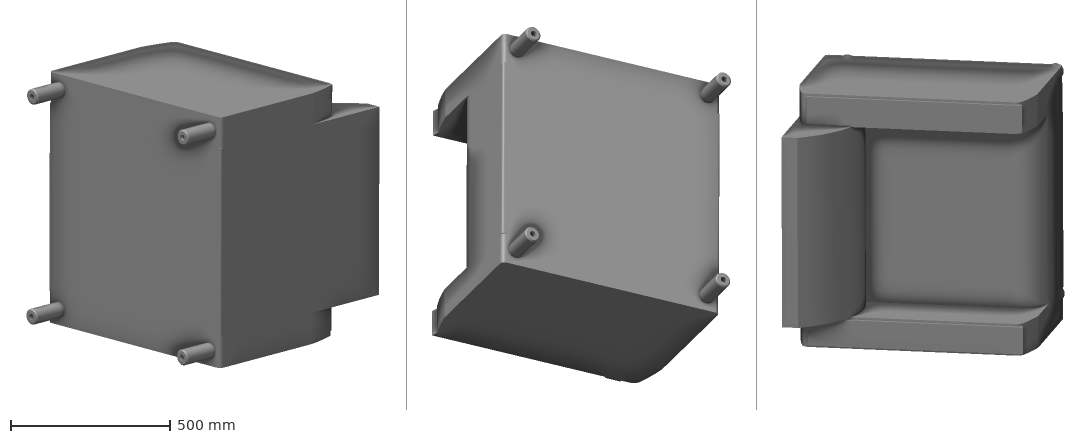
import cadquery as cq
import math

LEAN_ANGLE = 0.24

WIDTH = 761.0
HALF_WIDTH = WIDTH / 2
BASE_Y = -292.0

ARM_THICKNESS = 102.0
ARM_TOP_Y = 240.0
ARM_CURVE_START_Y = 118.0
ARM_TOP_HALF_WIDTH = 348.5
ARM_CURVE_SAG = 3.0
ARM_SHOULDER_RADIUS = 25
ARM_BASE_RADIUS = 14.0

SEAT_LENGTH = 613.0
SEAT_TOP_Y = 27.0
SEAT_FRONT_RADIUS = 83
SEAT_BASE_RADIUS = 7.5
BACK_TOP_Y = 415
BACK_TOP_X = 329.5
BACK_RADIUS = 339.0
BACK_CENTER_Y = 131.0

PAD_LEFT_X = -358.0
PAD_RIGHT_X = 332
PAD_TOP_Y = 253.0
PAD_WIDTH = 87.0
PAD_LIP_START_Y = 250.0
PAD_LIP_X = -351.0
PAD_LIP_Y = 231.0
PAD_LIP_BACK_X = -315

LEG_DIAMETER = 51.0
LEG_LENGTH = 123.0
LEG_EDGE = 4.0
LEG_X = 334.0
LEG_Z = 358.5
SOCKET_DIAMETER = 19.0
SOCKET_DEPTH = 25
PILOT_DIAMETER = 8.0
PILOT_DEPTH = 33

ARM_Z = (SEAT_LENGTH + ARM_THICKNESS) / 2


def make_arm(z_center):
    """Side panel with bowed upper sides and rounded corners."""
    rise = ARM_TOP_Y - ARM_CURVE_START_Y
    inset = HALF_WIDTH - ARM_TOP_HALF_WIDTH
    chord = math.hypot(rise, inset)
    bow_x = (HALF_WIDTH + ARM_TOP_HALF_WIDTH) / 2 + ARM_CURVE_SAG * rise / chord
    bow_y = (ARM_TOP_Y + ARM_CURVE_START_Y) / 2 + ARM_CURVE_SAG * inset / chord
    arm = (
        cq.Workplane("XY")
        .workplane(offset=z_center - ARM_THICKNESS / 2)
        .moveTo(-HALF_WIDTH, BASE_Y)
        .lineTo(HALF_WIDTH, BASE_Y)
        .lineTo(HALF_WIDTH, ARM_CURVE_START_Y)
        .threePointArc((bow_x, bow_y), (ARM_TOP_HALF_WIDTH, ARM_TOP_Y))
        .lineTo(-ARM_TOP_HALF_WIDTH, ARM_TOP_Y)
        .threePointArc((-bow_x, bow_y), (-HALF_WIDTH, ARM_CURVE_START_Y))
        .close()
        .extrude(ARM_THICKNESS)
    )
    arm = arm.edges("|Z and >Y").fillet(ARM_SHOULDER_RADIUS)
    return arm.edges("|Z and <Y").fillet(ARM_BASE_RADIUS)


def make_seat():
    """Seat block with a backrest whose front is a single large arc."""
    back_center_x = BACK_TOP_X + math.sqrt(BACK_RADIUS**2 - (BACK_TOP_Y - BACK_CENTER_Y) ** 2)
    back_foot_x = back_center_x - math.sqrt(BACK_RADIUS**2 - (SEAT_TOP_Y - BACK_CENTER_Y) ** 2)
    seat = (
        cq.Workplane("XY")
        .workplane(offset=-SEAT_LENGTH / 2)
        .moveTo(-HALF_WIDTH, BASE_Y)
        .lineTo(HALF_WIDTH, BASE_Y)
        .lineTo(HALF_WIDTH, BACK_TOP_Y)
        .lineTo(BACK_TOP_X, BACK_TOP_Y)
        .threePointArc((back_center_x - BACK_RADIUS, BACK_CENTER_Y), (back_foot_x, SEAT_TOP_Y))
        .lineTo(-HALF_WIDTH + SEAT_FRONT_RADIUS, SEAT_TOP_Y)
        .tangentArcPoint((-HALF_WIDTH, SEAT_TOP_Y - SEAT_FRONT_RADIUS), relative=False)
        .close()
        .extrude(SEAT_LENGTH)
    )
    return seat.edges("|Z and <Y").fillet(SEAT_BASE_RADIUS)


def make_pad(z_center, arm):
    """Flat pad on top of an arm, its front lip fitted over the arm's shoulder."""
    pad = (
        cq.Workplane("XY")
        .workplane(offset=z_center - PAD_WIDTH / 2)
        .moveTo(PAD_LEFT_X, PAD_TOP_Y)
        .lineTo(PAD_RIGHT_X, PAD_TOP_Y)
        .lineTo(PAD_RIGHT_X, ARM_TOP_Y)
        .lineTo(PAD_LIP_BACK_X, ARM_TOP_Y)
        .lineTo(PAD_LIP_X, PAD_LIP_Y)
        .lineTo(PAD_LEFT_X, PAD_LIP_START_Y)
        .close()
        .extrude(PAD_WIDTH)
    )
    return pad.cut(arm)


def make_leg(x, z):
    """Round leg with a softened foot and a stepped socket in its end."""
    leg = cq.Workplane("XZ").circle(LEG_DIAMETER / 2).extrude(LEG_LENGTH)
    leg = leg.faces("<Y").edges().chamfer(LEG_EDGE)
    leg = leg.faces("<Y").workplane().cboreHole(PILOT_DIAMETER, SOCKET_DIAMETER, SOCKET_DEPTH, PILOT_DEPTH)
    return leg.translate((x, BASE_Y, z))


def lean(body):
    """Turn a body about the Y axis and return its solid."""
    return body.rotate((0, 0, 0), (0, 1, 0), LEAN_ANGLE).val()


seat = make_seat()
arms = [make_arm(side * ARM_Z) for side in (-1, 1)]
pads = [make_pad(side * ARM_Z, arm) for side, arm in zip((-1, 1), arms)]
legs = [make_leg(x, z) for x in (-LEG_X, LEG_X) for z in (-LEG_Z, LEG_Z)]

result = cq.Compound.makeCompound([lean(body) for body in [seat, *arms, *pads, *legs]])